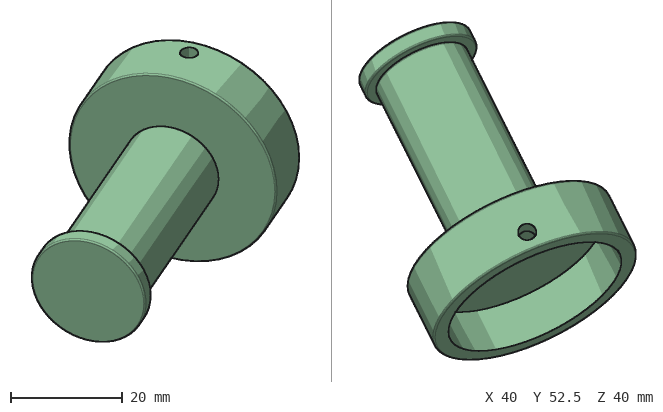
import cadquery as cq

base_diameter = 40.0
base_thickness = 11.5
post_diameter = 18.0
cap_diameter = 22.0
cap_thickness = 3.0
total_length = 52.5
post_length = total_length - base_thickness - cap_thickness
edge_radius = 0.3

wall_thickness = 3.0
recess_depth = base_thickness - wall_thickness

screw_hole_diameter = 3.25
screw_hole_from_back = 3.4


def rounded_disc(diameter, length, back_y):
    """Cylinder with both rims rounded, running from back_y toward -Y."""
    disc = cq.Workplane("XZ", origin=(0, back_y, 0)).circle(diameter / 2).extrude(length)
    return disc.edges("%CIRCLE").fillet(edge_radius)


def make_base():
    """Wall cup, open at the back, with a radial hole through the top of its rim."""
    disc = rounded_disc(base_diameter, base_thickness, 0)
    recess_radius = base_diameter / 2 - wall_thickness
    recess = cq.Workplane("XZ").circle(recess_radius).extrude(recess_depth)
    hole_top = cq.Workplane("XY", origin=(0, -screw_hole_from_back, base_diameter / 2))
    hole = hole_top.circle(screw_hole_diameter / 2).extrude(-base_diameter / 2)
    return disc.cut(recess).cut(hole)


def make_post():
    """Round post standing on the front face of the base."""
    return rounded_disc(post_diameter, post_length, -base_thickness)


def make_cap():
    """Wider retaining disc on the free end of the post."""
    return rounded_disc(cap_diameter, cap_thickness, -base_thickness - post_length)


base = make_base()
post = make_post()
cap = make_cap()

result = cq.Compound.makeCompound([base.val(), post.val(), cap.val()])